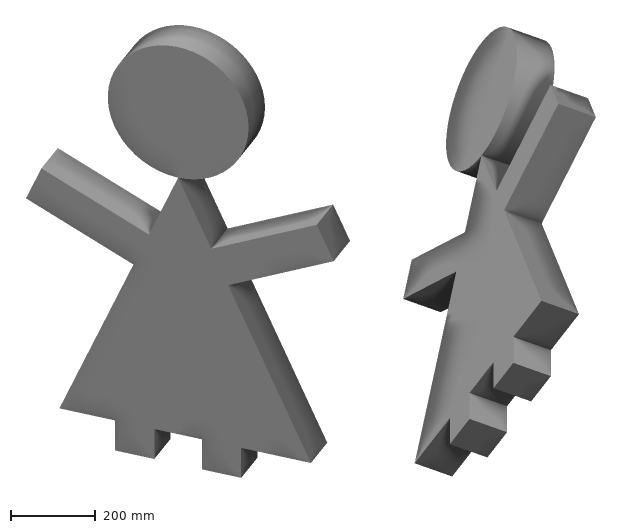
import cadquery as cq
import math

thickness = 100.0
total_height = 1151.0

head_diameter = 360.0
head_radius = head_diameter / 2

leg_height = 83.0
apex_z = total_height - head_diameter
hem_z = leg_height
hem_left = -304.0
hem_right = 340.0

leg_width = thickness
leg_gap = 122.0
leg_offset = (leg_gap + leg_width) / 2

arm_width = thickness
arm_length = 299.0
left_shoulder_drop = 190.0
right_shoulder_drop = 196.0


def extrude_plate(outline):
    """Extrude a closed XZ outline forward (-Y) from Y = 0 by the common thickness."""
    return outline.extrude(thickness)


def make_head():
    center_z = total_height - head_radius
    return extrude_plate(cq.Workplane("XZ").center(0, center_z).circle(head_radius))


def make_dress():
    corners = [(0, apex_z), (hem_left, hem_z), (hem_right, hem_z)]
    return extrude_plate(cq.Workplane("XZ").polyline(corners).close())


def make_leg(center_x):
    return extrude_plate(
        cq.Workplane("XZ").center(center_x, leg_height / 2).rect(leg_width, leg_height)
    )


def make_arm(hem_x, shoulder_drop):
    """Make a bar standing square on the dress side that runs from the apex to hem_x."""
    side_height = apex_z - hem_z
    side_length = math.hypot(hem_x, side_height)
    along_x = hem_x / side_length
    along_z = -side_height / side_length
    outward_x = math.copysign(-along_z, hem_x)
    outward_z = abs(along_x)

    def arm_corner(distance_down, distance_out):
        x = distance_down * along_x + distance_out * outward_x
        z = apex_z + distance_down * along_z + distance_out * outward_z
        return (x, z)

    arm_bottom = shoulder_drop + arm_width
    corners = [
        arm_corner(shoulder_drop, 0),
        arm_corner(shoulder_drop, arm_length),
        arm_corner(arm_bottom, arm_length),
        arm_corner(arm_bottom, 0),
    ]
    return extrude_plate(cq.Workplane("XZ").polyline(corners).close())


head = make_head()
dress = make_dress()
legs = [make_leg(center_x) for center_x in (-leg_offset, leg_offset)]
arm_places = [(hem_left, left_shoulder_drop), (hem_right, right_shoulder_drop)]
arms = [make_arm(hem_x, drop) for hem_x, drop in arm_places]

result = cq.Compound.makeCompound(
    [head.val(), dress.val(), *[leg.val() for leg in legs], *[arm.val() for arm in arms]]
)